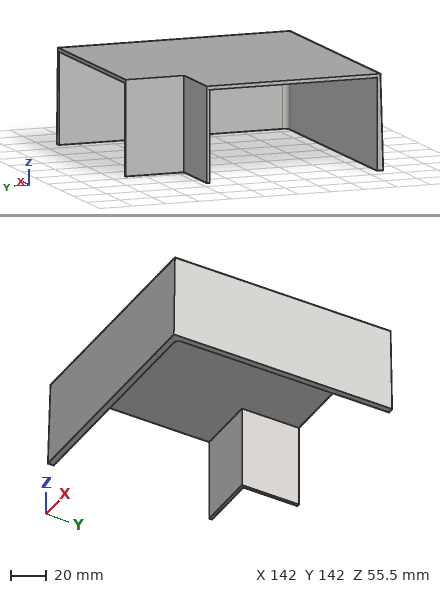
import cadquery as cq

side = 142.0
height = 55.5

roof_thickness = 2.1
notch_wall = 1.8
outer_wall_base = 3.8
draft_inset = 1.7
inner_corner_radius = 3.3

notch = 35.2

low = -side / 2
high = side / 2


def drafted_block():
    """Block whose -Y and +X faces lean inward towards the roof."""
    base = cq.Workplane("XY").rect(side, side)
    top_side = side - draft_inset
    return (
        base.workplane(offset=height)
        .center(-draft_inset / 2, draft_inset / 2)
        .rect(top_side, top_side)
        .loft(ruled=True)
    )


def notch_cut():
    """Full-height square removed from the corner."""
    return cq.Workplane("XY").box(notch, notch, height, centered=False).translate((low, high - notch, 0))


def channel():
    """L-shaped passage, open below and at its -X and +Y ends."""
    inner_x = high - outer_wall_base
    inner_y = low + outer_wall_base
    notch_inner_x = low + notch + notch_wall
    notch_inner_y = high - notch - notch_wall
    outline = [
        (low, inner_y),
        (inner_x, inner_y),
        (inner_x, high),
        (notch_inner_x, high),
        (notch_inner_x, notch_inner_y),
        (low, notch_inner_y),
    ]
    passage = cq.Workplane("XY").polyline(outline).close().extrude(height - roof_thickness)
    return passage.edges("|Z").edges(cq.NearestToPointSelector((inner_x, inner_y, height / 2))).fillet(
        inner_corner_radius
    )


result = drafted_block().cut(notch_cut()).cut(channel())